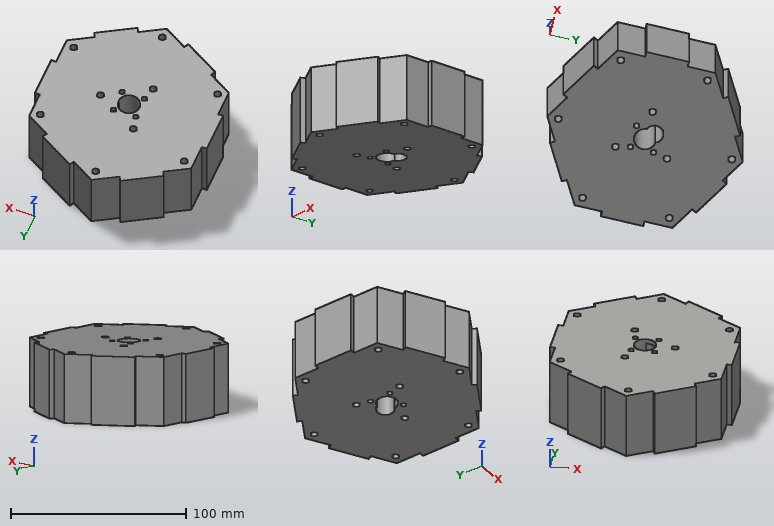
import cadquery as cq
import math

height = 40.0
side_count = 6
side_angle = 360 / side_count
corner_radius = 57.5
flat_distance = corner_radius * math.cos(math.radians(side_angle / 2))

pad_width = 25.0
pad_rise = 3.0

bore_diameter = 12.7
skin_thickness = 3.0
pocket_diameter = 10.6
pocket_offset = 6.1
pocket_angle = 45

screw_hole_count = 4
screw_hole_diameter = 3.1
screw_circle_radius = 9.6
screw_start_angle = 45.7

large_hole_diameter = 4.0
inner_hole_count = 3
inner_circle_radius = 17.5
corner_circle_radius = 51.0


def turned(shape, angle):
    """Turn a shape about the Z axis."""
    return shape.rotate((0, 0, 0), (0, 0, 1), angle)


def hexagonal_body():
    body = cq.Workplane("XY").polygon(side_count, 2 * corner_radius).extrude(height)
    return turned(body, side_angle / 2)


def side_pad(angle):
    """Full-height block from the axis out past the flat that faces the given angle."""
    reach = flat_distance + pad_rise
    pad = cq.Workplane("XY").center(reach / 2, 0).rect(reach, pad_width).extrude(height)
    return turned(pad, angle)


def bore():
    return cq.Workplane("XY").circle(bore_diameter / 2).extrude(height)


def bore_pocket():
    """Round pocket opening into one side of the bore, from the base up to the top skin."""
    pocket = cq.Workplane("XY").center(pocket_offset, 0).circle(pocket_diameter / 2)
    return turned(pocket.extrude(height - skin_thickness), pocket_angle)


def hole_ring(circle_radius, diameter, start_angle, count):
    """Through holes evenly spaced on a circle about the Z axis."""
    ring = cq.Workplane("XY").polarArray(circle_radius, start_angle, 360, count)
    return ring.circle(diameter / 2).extrude(height)


result = hexagonal_body()
for side in range(side_count):
    result = result.union(side_pad(side * side_angle))

result = result.cut(bore())
result = result.cut(bore_pocket())
result = result.cut(hole_ring(screw_circle_radius, screw_hole_diameter, screw_start_angle, screw_hole_count))
result = result.cut(hole_ring(inner_circle_radius, large_hole_diameter, 0, inner_hole_count))
result = result.cut(hole_ring(corner_circle_radius, large_hole_diameter, side_angle / 2, side_count))